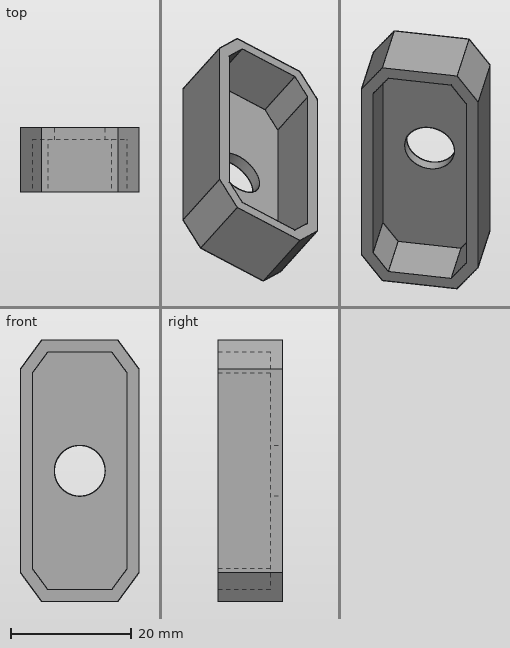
import cadquery as cq

width = 19.76
depth = 10.75
height = 43.5
corner_width = 3.56
corner_height = 4.86

wall = 2.0
floor_thickness = 2.0
hole_diameter = 8.4


def octagon(y_position):
    """Rectangle with cut corners, drawn on the XZ plane at the given Y."""
    half_width = width / 2
    half_height = height / 2
    flat_x = half_width - corner_width
    flat_z = half_height - corner_height
    return (
        cq.Workplane("XZ", origin=(0, y_position, 0))
        .moveTo(flat_x, half_height)
        .lineTo(half_width, flat_z)
        .lineTo(half_width, -flat_z)
        .lineTo(flat_x, -half_height)
        .lineTo(-flat_x, -half_height)
        .lineTo(-half_width, -flat_z)
        .lineTo(-half_width, flat_z)
        .lineTo(-flat_x, half_height)
        .close()
    )


back_y = depth / 2
floor_y = back_y - floor_thickness

body = octagon(back_y).extrude(depth)
pocket = octagon(floor_y).offset2D(-wall, "intersection").extrude(depth - floor_thickness)
hole = cq.Workplane("XZ", origin=(0, back_y, 0)).circle(hole_diameter / 2).extrude(floor_thickness)

result = body.cut(pocket).cut(hole)